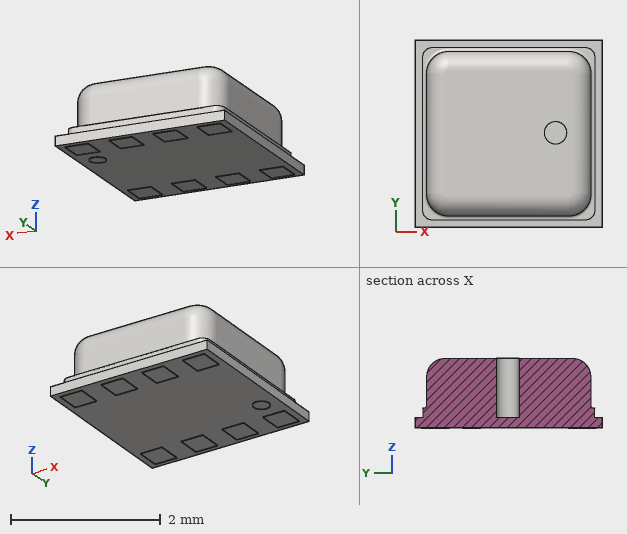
import cadquery as cq

board_side = 2.5
pad_thickness = 0.01
board_thickness = 0.14
board_top = pad_thickness + board_thickness

pads_per_row = 4
pad_pitch = 0.65
pad_size_x = 0.345
pad_size_y = 0.365
pad_row_y = 0.982
first_pad_x = -pad_pitch * (pads_per_row - 1) / 2

mark_diameter = 0.24
mark_x = -first_pad_x
mark_y = 0.5

total_height = 0.94
flange_side = 2.3
flange_thickness = 0.125
flange_corner_radius = 0.125
flange_top = board_top + flange_thickness

cap_side = 2.2
cap_corner_radius = 0.3
cap_top_radius = 0.25
cap_foot_radius = 0.04

vent_diameter = 0.3
vent_x = 0.625
vent_y = 0.012


def make_block(side, corner_radius, bottom, top):
    """Square block centred on Z with rounded vertical edges."""
    block = cq.Workplane("XY").workplane(offset=bottom).rect(side, side).extrude(top - bottom)
    return block.edges("|Z").fillet(corner_radius)


def make_board():
    return cq.Workplane("XY").workplane(offset=pad_thickness).rect(board_side, board_side).extrude(board_thickness)


def make_pads():
    centres = [
        (first_pad_x + column * pad_pitch, row_y)
        for column in range(pads_per_row)
        for row_y in (-pad_row_y, pad_row_y)
    ]
    pads = cq.Workplane("XY").pushPoints(centres).rect(pad_size_x, pad_size_y).extrude(pad_thickness)
    mark = cq.Workplane("XY").center(mark_x, mark_y).circle(mark_diameter / 2).extrude(pad_thickness)
    return pads, mark


def make_lid():
    flange = make_block(flange_side, flange_corner_radius, board_top, flange_top)
    cap = make_block(cap_side, cap_corner_radius, flange_top, total_height)
    cap = cap.faces(">Z").edges().fillet(cap_top_radius)
    lid = flange.union(cap)

    margin = cap_foot_radius / 4
    half_cap = cap_side / 2 + margin
    foot_edges = cq.selectors.BoxSelector(
        (-half_cap, -half_cap, flange_top - margin),
        (half_cap, half_cap, flange_top + margin),
        boundingbox=True,
    )
    lid = lid.edges(foot_edges).fillet(cap_foot_radius)

    vent = (
        cq.Workplane("XY")
        .workplane(offset=board_top)
        .center(vent_x, vent_y)
        .circle(vent_diameter / 2)
        .extrude(total_height - board_top)
    )
    return lid.cut(vent)


pads, mark = make_pads()
result = make_board().union(pads).union(mark).union(make_lid())